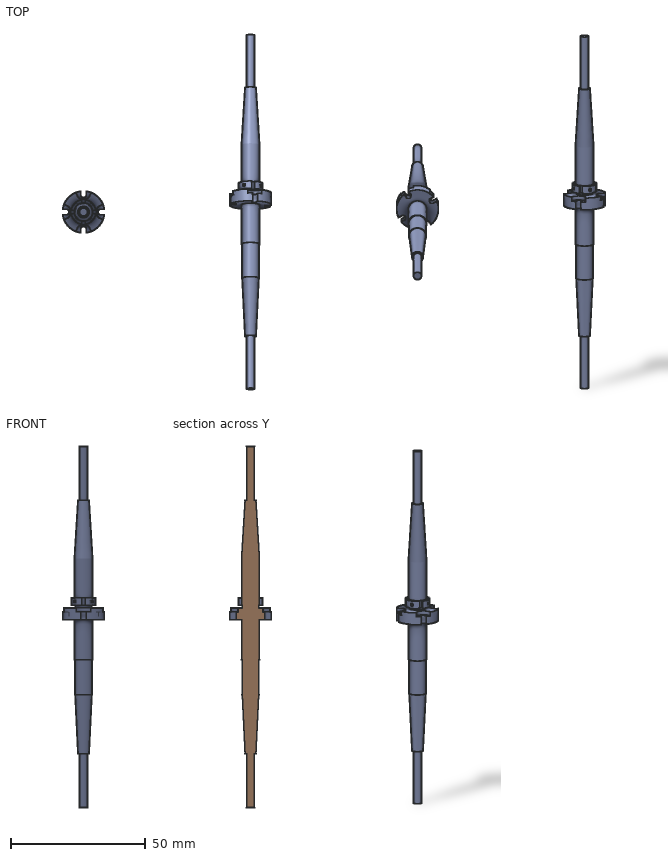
import cadquery as cq

TOTAL_HEIGHT = 134.5
LEAD_LENGTH = 20.0
LOWER_CONE_TOP = 42.0
LOWER_SLEEVE_TOP = 55.0
FLANGE_BOTTOM = 69.9
FLANGE_THICKNESS = 4.5
NECK_HEIGHT = 0.9
COLLAR_HEIGHT = 2.8
UPPER_CONE_BOTTOM = 92.7
FLANGE_TOP = FLANGE_BOTTOM + FLANGE_THICKNESS
COLLAR_BOTTOM = FLANGE_TOP + NECK_HEIGHT
COLLAR_TOP = COLLAR_BOTTOM + COLLAR_HEIGHT
UPPER_CONE_TOP = TOTAL_HEIGHT - LEAD_LENGTH

LEAD_DIAMETER = 3.0
CONE_TIP_DIAMETER = 4.2
LOWER_CONE_BASE_DIAMETER = 6.3
LOWER_SLEEVE_DIAMETER = 6.5
BODY_DIAMETER = 6.85
NECK_DIAMETER = 6.2
COLLAR_DIAMETER = 9.2
FLANGE_DIAMETER = 15.61

SLOT_WIDTH = 2.0
SLOT_DEPTH_RADIUS = 5.4
SCREW_HEAD_DIAMETER = 5.4
SCREW_HEAD_CENTER_RADIUS = 7.4
SCREW_HEAD_DEPTH = 1.5

KEYWAY_WIDTH = 1.3
KEYWAY_FLOOR_RADIUS = 3.3
SPANNER_HOLE_DIAMETER = 1.0
SPANNER_HOLE_DEPTH = 1.0

FULL_TURN = 360
QUARTER_TURN = 90
EIGHTH_TURN = 45


def cylinder(diameter, bottom, top):
    return cq.Workplane("XY").workplane(offset=bottom).circle(diameter / 2).extrude(top - bottom)


def cone(bottom_diameter, bottom, top_diameter, top):
    return cq.Workplane(
        cq.Solid.makeCone(
            bottom_diameter / 2, top_diameter / 2, top - bottom, pnt=cq.Vector(0, 0, bottom)
        )
    )


def four_around(cutter, first_angle=0):
    """Four copies of a cutter, a quarter turn apart about Z."""
    copies = cq.Workplane("XY")
    for turn in range(FULL_TURN // QUARTER_TURN):
        copies = copies.add(cutter.rotate((0, 0, 0), (0, 0, 1), first_angle + turn * QUARTER_TURN))
    return copies.combine()


def flange():
    disc = cylinder(FLANGE_DIAMETER, FLANGE_BOTTOM, FLANGE_TOP)
    slot_center = SLOT_DEPTH_RADIUS + SLOT_WIDTH / 2
    slot_length = FLANGE_DIAMETER / 2
    round_end = cylinder(SLOT_WIDTH, FLANGE_BOTTOM, FLANGE_TOP).translate((slot_center, 0, 0))
    straight = (
        cq.Workplane("XY")
        .box(slot_length, SLOT_WIDTH, FLANGE_THICKNESS, centered=(False, True, False))
        .translate((slot_center, 0, FLANGE_BOTTOM))
    )
    head_seat = cylinder(
        SCREW_HEAD_DIAMETER, FLANGE_TOP - SCREW_HEAD_DEPTH, FLANGE_TOP
    ).translate((SCREW_HEAD_CENTER_RADIUS, 0, 0))
    return disc.cut(four_around(round_end.union(straight).union(head_seat)))


def collar():
    ring = cylinder(COLLAR_DIAMETER, COLLAR_BOTTOM, COLLAR_TOP)
    keyway = (
        cq.Workplane("XY")
        .box(COLLAR_DIAMETER, KEYWAY_WIDTH, COLLAR_HEIGHT, centered=(False, True, False))
        .translate((KEYWAY_FLOOR_RADIUS, 0, COLLAR_BOTTOM))
    )
    spanner_hole = (
        cq.Workplane("YZ", origin=(COLLAR_DIAMETER / 2 - SPANNER_HOLE_DEPTH, 0, 0))
        .center(0, COLLAR_BOTTOM + COLLAR_HEIGHT / 2)
        .circle(SPANNER_HOLE_DIAMETER / 2)
        .extrude(COLLAR_DIAMETER)
    )
    return ring.cut(four_around(keyway)).cut(four_around(spanner_hole, EIGHTH_TURN))


result = (
    cylinder(LEAD_DIAMETER, 0, TOTAL_HEIGHT)
    .union(cone(CONE_TIP_DIAMETER, LEAD_LENGTH, LOWER_CONE_BASE_DIAMETER, LOWER_CONE_TOP))
    .union(cylinder(LOWER_SLEEVE_DIAMETER, LOWER_CONE_TOP, LOWER_SLEEVE_TOP))
    .union(cylinder(BODY_DIAMETER, LOWER_SLEEVE_TOP, FLANGE_BOTTOM))
    .union(flange())
    .union(cylinder(NECK_DIAMETER, FLANGE_TOP, COLLAR_BOTTOM))
    .union(collar())
    .union(cylinder(BODY_DIAMETER, COLLAR_TOP, UPPER_CONE_BOTTOM))
    .union(cone(BODY_DIAMETER, UPPER_CONE_BOTTOM, CONE_TIP_DIAMETER, UPPER_CONE_TOP))
)